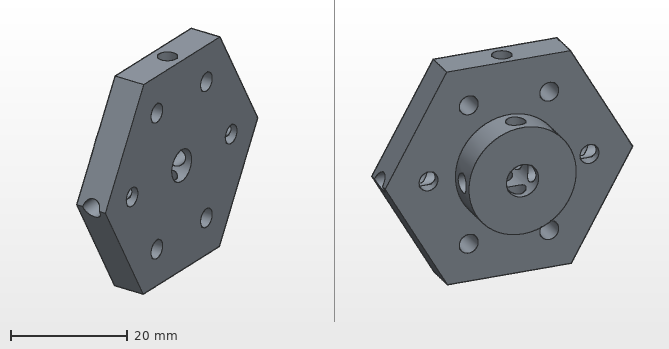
import cadquery as cq
import math

PLATE_THICKNESS = 6.0
CORNER_DIAMETER = 46.2
PLATE_TILT = -0.23

HUB_DIAMETER = 20.0
HUB_LENGTH = PLATE_THICKNESS
BORE_DIAMETER = 6.0

HOLE_DIAMETER = 3.5
BOLT_CIRCLE_DIAMETER = 30.02
BOLT_COUNT = 6
CORNER_HOLE_Z = -0.1


def cross_hole(x_center, direction, z_center=0.0):
    """Cylinder across the whole part along direction, centred at x_center and z_center."""
    axis = cq.Vector(*direction)
    start = cq.Vector(x_center, 0, z_center) - axis * CORNER_DIAMETER
    cylinder = cq.Solid.makeCylinder(HOLE_DIAMETER / 2, 2 * CORNER_DIAMETER, start, axis)
    return cq.Workplane(cylinder)


plate = (
    cq.Workplane("YZ")
    .polygon(6, CORNER_DIAMETER)
    .extrude(PLATE_THICKNESS)
    .rotate((0, 0, 0), (1, 0, 0), PLATE_TILT)
)
hub = cq.Workplane("YZ").circle(HUB_DIAMETER / 2).extrude(-HUB_LENGTH)
body = plate.union(hub)

bore = (
    cq.Workplane("YZ", origin=(-HUB_LENGTH, 0, 0))
    .circle(BORE_DIAMETER / 2)
    .extrude(HUB_LENGTH + PLATE_THICKNESS)
)
bolt_holes = (
    cq.Workplane("YZ")
    .polarArray(BOLT_CIRCLE_DIAMETER / 2, 0, 360, BOLT_COUNT)
    .circle(HOLE_DIAMETER / 2)
    .extrude(PLATE_THICKNESS)
)
body = body.cut(bore).cut(bolt_holes)

hub_middle = -HUB_LENGTH / 2
body = body.cut(cross_hole(hub_middle, (0, 1, 0)))
body = body.cut(cross_hole(hub_middle, (0, 0, 1)))

plate_middle = PLATE_THICKNESS / 2
flat_normal = (0, -math.sin(math.radians(PLATE_TILT)), math.cos(math.radians(PLATE_TILT)))
body = body.cut(cross_hole(plate_middle, (0, 1, 0), CORNER_HOLE_Z))
body = body.cut(cross_hole(plate_middle, flat_normal))

result = body